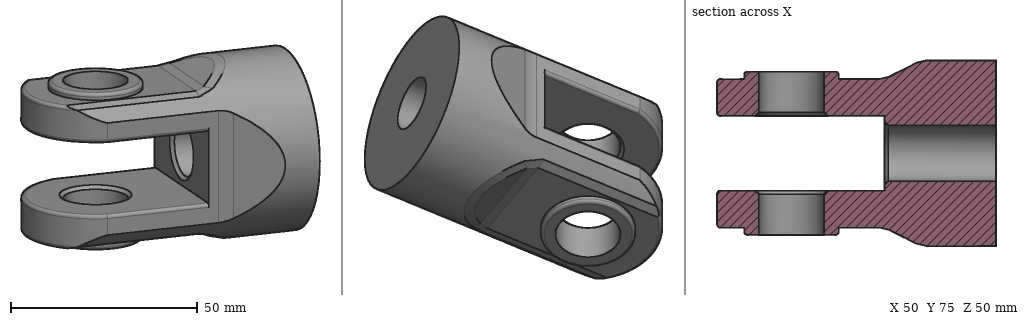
import cadquery as cq
import math

length = 75
body_radius = 50.0 / 2

fork_half_width = 19.5
tip_radius = 20.0
pivot_y = tip_radius
side_taper_start_y = 64.95
side_taper_angle = 20
side_blend_radius = 12

slot_width = 20.0
slot_floor_y = 45
cheek_outer_z = 20.0
ramp_foot_y = 45.15
ramp_angle = 27.2
cheek_chamfer = 1.5
edge_fillet = 1.0

boss_diameter = 25.5
boss_top_z = 22.0
pin_hole_diameter = 17.5
shank_hole_diameter = 15
hole_chamfer = 1.0

margin = 7.5
tolerance = 0.01


def relief_cutter(plane, flat_offset, foot_y, angle):
    """Region outside a flat that rises into a sloping ramp at its foot.

    The first sketch axis is the distance from the bar axis, the second one is Y."""
    outer = body_radius + margin
    ramp_end_y = foot_y + (outer - flat_offset) / math.tan(math.radians(angle))
    return (
        cq.Workplane(plane)
        .moveTo(flat_offset, -margin)
        .lineTo(flat_offset, foot_y)
        .lineTo(outer, ramp_end_y)
        .lineTo(outer, -margin)
        .close()
        .extrude(outer, both=True)
    )


def cut_both_sides(solid, cutter, mirror_plane):
    return solid.cut(cutter).cut(cutter.mirror(mirror_plane))


def round_bar():
    return cq.Workplane("XZ").circle(body_radius).extrude(-length)


def cut_cheek_faces(solid):
    """Flatten the cheeks in +Z and -Z, then chamfer each relief's outline and the ramp foot."""
    side_plane = cq.Plane(origin=(0, 0, 0), xDir=(0, 0, 1), normal=(-1, 0, 0))
    relief = relief_cutter(side_plane, cheek_outer_z, ramp_foot_y, ramp_angle)
    solid = cut_both_sides(solid, relief, "XY")

    def needs_chamfer(edge):
        middle = edge.positionAt(0.5)
        on_relief = abs(middle.z) > cheek_outer_z - tolerance
        at_bar_end = min(middle.y, length - middle.y) < tolerance
        return on_relief and not at_bar_end

    edges = [edge for edge in solid.edges().vals() if needs_chamfer(edge)]
    return solid.newObject(edges).chamfer(cheek_chamfer)


def cut_fork_sides(solid):
    """Flatten the fork in +X and -X, tapering out to the full bar through a smooth blend."""
    taper_run = (body_radius - fork_half_width) / math.tan(math.radians(side_taper_angle))
    foot_y = side_taper_start_y - taper_run
    relief = relief_cutter("XY", fork_half_width, foot_y, side_taper_angle)
    blend_edge = cq.selectors.NearestToPointSelector((fork_half_width, foot_y, 0))
    relief = relief.edges("|Z").edges(blend_edge).fillet(side_blend_radius)
    return cut_both_sides(solid, relief, "YZ")


def round_tip(solid):
    """Trim the fork end to an arc about the pivot; it meets the side flats at a slight angle."""
    arc_end_y = pivot_y - math.sqrt(tip_radius**2 - fork_half_width**2)
    envelope = (
        cq.Workplane("XY")
        .moveTo(-fork_half_width, arc_end_y)
        .threePointArc((0, pivot_y - tip_radius), (fork_half_width, arc_end_y))
        .lineTo(body_radius + margin, arc_end_y)
        .lineTo(body_radius + margin, length + margin)
        .lineTo(-body_radius - margin, length + margin)
        .lineTo(-body_radius - margin, arc_end_y)
        .close()
        .extrude(body_radius + margin, both=True)
    )
    return solid.intersect(envelope)


def cut_slot(solid):
    slot = cq.Workplane("XY").box(
        2 * (body_radius + margin), slot_floor_y + margin, slot_width, centered=(True, False, True)
    )
    return solid.cut(slot.translate((0, -margin, 0)))


def round_cheek_edges(solid):
    """Round the slot edges of both cheeks and the outer edge of each tip arc."""

    def needs_rounding(edge):
        middle = edge.positionAt(0.5)
        at_tip = abs(middle.x) < tolerance and abs(middle.y) < tolerance
        on_slot_wall = abs(abs(middle.z) - slot_width / 2) < tolerance
        on_side = abs(abs(middle.x) - fork_half_width) < tolerance
        along_side = edge.geomType() == "LINE" and abs(edge.tangentAt(0.5).y) > 0.75 - tolerance
        return (at_tip and abs(middle.z) > tolerance) or (on_slot_wall and on_side and along_side)

    edges = [edge for edge in solid.edges().vals() if needs_rounding(edge)]
    return solid.newObject(edges).fillet(edge_fillet)


def add_bosses(solid):
    for side in (1, -1):
        boss = (
            cq.Workplane("XY")
            .circle(boss_diameter / 2)
            .extrude(boss_top_z - slot_width / 2)
            .faces(">Z")
            .edges()
            .fillet(edge_fillet)
            .translate((0, pivot_y, slot_width / 2))
        )
        if side < 0:
            boss = boss.mirror("XY")
        solid = solid.union(boss)
    return solid


def chamfer_cone(diameter):
    """Cone along +Z that chamfers a hole mouth lying on Z = 0."""
    return cq.Workplane("XY").add(
        cq.Solid.makeCone(diameter / 2 + hole_chamfer, diameter / 2, hole_chamfer)
    )


def cut_pin_holes(solid):
    """Bore both cheeks along Z, chamfered on the slot walls only."""
    pin = cq.Workplane("XY").center(0, pivot_y).circle(pin_hole_diameter / 2)
    mouth = chamfer_cone(pin_hole_diameter).translate((0, pivot_y, slot_width / 2))
    solid = solid.cut(pin.extrude(body_radius + margin, both=True))
    return cut_both_sides(solid, mouth, "XY")


def cut_shank_hole(solid):
    """Bore the shank along Y from the slot floor, chamfered at the floor."""
    bore = (
        cq.Workplane("XZ", origin=(0, slot_floor_y, 0))
        .circle(shank_hole_diameter / 2)
        .extrude(-(length - slot_floor_y + margin))
    )
    mouth = chamfer_cone(shank_hole_diameter).rotate((0, 0, 0), (1, 0, 0), -90)
    return solid.cut(bore).cut(mouth.translate((0, slot_floor_y, 0)))


body = cut_cheek_faces(round_bar())
body = cut_fork_sides(body)
body = round_tip(body)
body = cut_slot(body)
body = round_cheek_edges(body)
body = add_bosses(body)
body = cut_pin_holes(body)
result = cut_shank_hole(body)